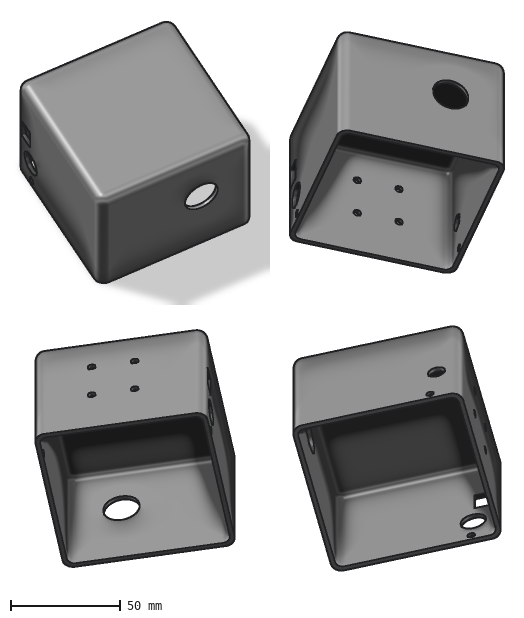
import cadquery as cq

side = 80.0
height = 63.0
outer_radius = 5.0
wall = 2.2
cavity_radius = 3.5

window_width = 8.0
window_height = 11.2
window_corner_radius = 0.6
window_center = (-31.0, 32.6)
port_diameter = 12.0
port_center = (-26.5, 15.6)

bolt_diameter = 3.5
bolt_center = (-25.5, 3.7)

back_hole_diameter = 8.0
back_hole_center = (-28.6, 21.8)

mount_diameter = 3.5
mount_pitch = 20.0
mount_center = (3.0, 33.5)

right_hole_diameter = 17.0
right_hole_center = (13.0, 35.2)

cut_depth = 16.0
half_side = side / 2


def rounded_box(width, tall, radius):
    """Square box on Z = 0 with rounded vertical and top edges."""
    box = cq.Workplane("XY").box(width, width, tall, centered=(True, True, False))
    return box.edges("|Z or >Z").fillet(radius)


def hole_along_x(wall_x, center, diameter):
    """Cylinder across the wall at wall_x; center is (Y, Z)."""
    plane = cq.Workplane("YZ", origin=(wall_x, 0, 0))
    return plane.center(*center).circle(diameter / 2).extrude(cut_depth / 2, both=True)


def hole_along_y(wall_y, center, diameter):
    """Cylinder across the wall at wall_y; center is (X, Z)."""
    plane = cq.Workplane("XZ", origin=(0, wall_y, 0))
    return plane.center(*center).circle(diameter / 2).extrude(cut_depth / 2, both=True)


shell = rounded_box(side, height, outer_radius)
shell = shell.cut(rounded_box(side - 2 * wall, height - wall, cavity_radius))

window = (
    cq.Workplane("XZ", origin=(0, -half_side, 0))
    .center(*window_center)
    .rect(window_width, window_height)
    .extrude(cut_depth / 2, both=True)
    .edges("|Y")
    .fillet(window_corner_radius)
)
shell = shell.cut(window)

shell = shell.cut(hole_along_y(-half_side, port_center, port_diameter))
shell = shell.cut(hole_along_y(half_side, back_hole_center, back_hole_diameter))
for wall_y in (-half_side, half_side):
    shell = shell.cut(hole_along_y(wall_y, bolt_center, bolt_diameter))

for y_sign in (-1, 1):
    for z_sign in (-1, 1):
        center = (
            mount_center[0] + y_sign * mount_pitch / 2,
            mount_center[1] + z_sign * mount_pitch / 2,
        )
        shell = shell.cut(hole_along_x(-half_side, center, mount_diameter))

shell = shell.cut(hole_along_x(half_side, right_hole_center, right_hole_diameter))

result = shell